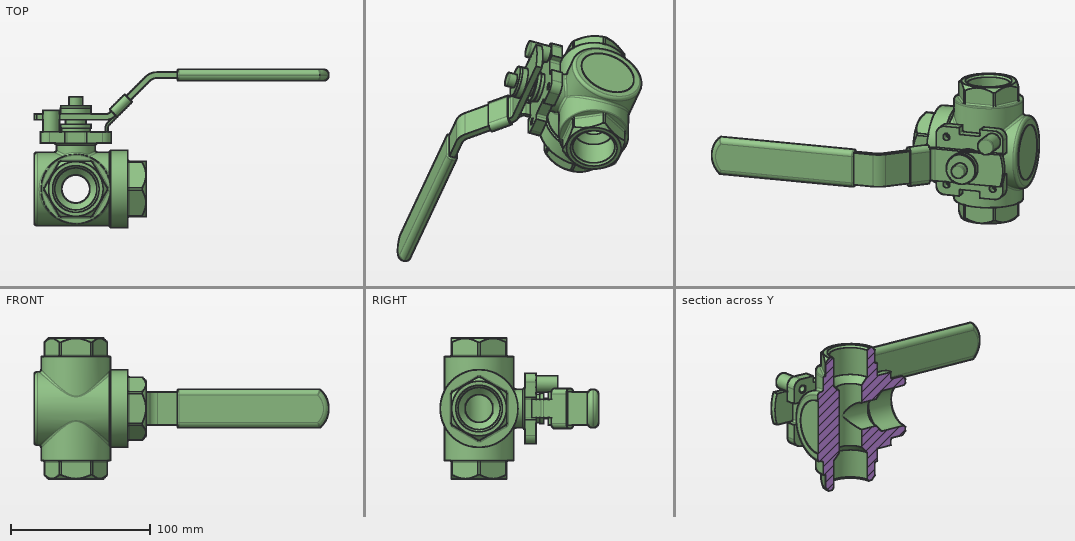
import cadquery as cq
import math


PICK_MARGIN = 0.1

BODY_DIA = 53.0
BODY_END_X = -30.0
BODY_EDGE_FILLET = 2.3
RECESS_DIA = 40.0
RECESS_DEPTH = 0.3

CAP_DIA = 56.0
CAP_START_X = 24.0
CAP_END_X = 37.4
CAP_CHAMFER = 1.2

SLEEVE_DIA = 50.0
SLEEVE_END = 37.4
SLEEVE_FILLET = 0.6
CROSSING_FILLET = 1.5

PORT_END = 50.7
HEX_FLATS = 40.0
HEX_CORNER_DIA = 45.3
HEX_CHAMFER = 3.0
HEX_ROOT_FILLET = 1.1
SHOULDER_DEPTH = 5.0

THREAD_DIA = 30.29
THREAD_MOUTH_DIA = 33.5
THREAD_DEPTH = 22.0
BORE_DIA = 20.0

NECK_DIA = 28.0
NECK_FLARE = 1.5
NECK_ROOT_FILLET = 1.5
NECK_ROOT_DEPTH = 6.0
PLATE_BOTTOM_Y = 33.0
PLATE_TOP_Y = 41.0
PLATE_SIDE = 51.0
PLATE_CORNER_RADIUS = 6.4
PLATE_BOLT_CIRCLE = 50.0
PLATE_HOLE_DIA = 5.0
PLATE_HOLE_CHAMFER = 0.5
NOTCH_WIDTH = 16.0
NOTCH_DEPTH = 5.0
NOTCH_FILLET = 1.4

PIN_DIA = 12.0
PIN_TOP_Y = 56.7
PIN_FILLET = 0.5

STRIP_THICKNESS = 4.4
STRIP_WIDTH = 23.8
STRIP_CENTRE_Y = 51.8
STRIP_START_X = -30.0
STRIP_END_BOW = 2.0
GRIP_CENTRE_Y = 81.9
RAMP_ANGLE = 45.0
RAMP_OFFSET = 27.5
LOWER_BEND_RADIUS = 5.7
UPPER_BEND_RADIUS = 9.7

GLAND_DIA = 20.8
GLAND_TOP_Y = 43.8
SPRING_DIA = 22.2
SPRING_TOP_Y = 46.6
STEM_DIA = 15.0
WASHER_DIA = 22.2
NUT_DIA = 22.0
NUT_BASE_Y = 58.2
NUT_TOP_Y = 60.0
STEM_TIP_DIA = 10.0
STEM_TIP_Y = 66.3
STEM_TIP_FILLET = 0.5

SLIDER_LENGTH = 15.3
SLIDER_THICKNESS = 7.8
SLIDER_WIDTH = 29.0
SLIDER_CENTRE_X = 32.4
TAB_THICKNESS = 2.0
TAB_WIDTH = 13.0
TAB_X = 22.3
TAB_BOTTOM_Y = 38.0
TAB_BEND_RADIUS = 3.5

GRIP_START_X = 73.1
GRIP_TIP_X = 182.0
GRIP_SHOULDER_X = 175.4
GRIP_WIDTH = 27.8
GRIP_THICKNESS = 8.4
GRIP_SIDE_RADIUS = 4.1
GRIP_MOUTH_FILLET = 1.0


def disc_along_y(diameter, y_start, y_end):
    """Cylinder on the stem axis between two heights."""
    plane = cq.Workplane("XZ", origin=(0, y_start, 0))
    return plane.circle(diameter / 2).extrude(y_start - y_end)


def hex_prism(flats, height):
    """Hexagon with two flats facing +Y and -Y, standing on z = 0."""
    return cq.Workplane("XY").polygon(6, flats / math.cos(math.pi / 6)).extrude(height)


def flat_box_around_axis(reach):
    """Selector for edges centred near z = 0 and within reach of the Z axis."""
    return cq.selectors.BoxSelector((-reach, -reach, -PICK_MARGIN), (reach, reach, PICK_MARGIN))


def port_end(base, shoulder_dia):
    """Hexagonal end along +Z, filleted into a round shoulder that ends at the given height."""
    height = PORT_END - base
    envelope = cq.Workplane("XY").circle(HEX_CORNER_DIA / 2).extrude(height)
    envelope = envelope.faces(">Z").chamfer(HEX_CHAMFER)
    end = hex_prism(HEX_FLATS, height).intersect(envelope)
    shoulder = cq.Workplane("XY").circle(shoulder_dia / 2).extrude(-SHOULDER_DEPTH)
    joint = flat_box_around_axis(HEX_CORNER_DIA / 2)
    rim = flat_box_around_axis(PICK_MARGIN)
    end = shoulder.union(end).edges(joint - rim).fillet(HEX_ROOT_FILLET)
    return end.translate((0, 0, base))


def port_bore():
    """Stepped bore from the ball centre out through a port along +Z."""
    mouth_chamfer = (THREAD_MOUTH_DIA - THREAD_DIA) / 2
    thread_floor = PORT_END - THREAD_DEPTH
    cone_floor = thread_floor - (THREAD_DIA - BORE_DIA) / 2
    profile = [
        (0, 0),
        (BORE_DIA / 2, 0),
        (BORE_DIA / 2, cone_floor),
        (THREAD_DIA / 2, thread_floor),
        (THREAD_DIA / 2, PORT_END - mouth_chamfer),
        (THREAD_MOUTH_DIA / 2, PORT_END),
        (0, PORT_END),
    ]
    return cq.Workplane("XZ").polyline(profile).close().revolve(360, (0, 0), (0, 1))


def to_bottom(shape):
    """Turn a +Z port feature to -Z."""
    return shape.rotate((0, 0, 0), (1, 0, 0), 180)


def to_side(shape):
    """Turn a +Z port feature to +X."""
    return shape.rotate((0, 0, 0), (0, 1, 0), 90)


def make_housing():
    """Body, stem neck, cap, sleeves and hexagonal ends, before boring."""
    body = cq.Workplane("YZ", origin=(BODY_END_X, 0, 0)).circle(BODY_DIA / 2)
    inside_cap_x = (CAP_START_X + CAP_END_X) / 2
    body = body.extrude(inside_cap_x - BODY_END_X).faces("<X").edges().fillet(BODY_EDGE_FILLET)
    recess = cq.Workplane("YZ", origin=(BODY_END_X, 0, 0)).circle(RECESS_DIA / 2).extrude(RECESS_DEPTH)
    sleeves = cq.Workplane("XY").circle(SLEEVE_DIA / 2).extrude(SLEEVE_END, both=True)
    sleeves = sleeves.faces("<Z or >Z").edges().fillet(SLEEVE_FILLET)
    cap = cq.Workplane("YZ", origin=(CAP_START_X, 0, 0)).circle(CAP_DIA / 2)
    cap = cap.extrude(CAP_END_X - CAP_START_X).faces("<X").chamfer(CAP_CHAMFER)
    end = port_end(SLEEVE_END, SLEEVE_DIA - 2 * SLEEVE_FILLET)
    side_end = to_side(port_end(CAP_END_X, CAP_DIA))
    housing = body.union(sleeves).edges("%BSPLINE").fillet(CROSSING_FILLET).union(make_neck())
    neck_reach = NECK_DIA / 2
    neck_root_top = BODY_DIA / 2 + PICK_MARGIN
    neck_root = cq.selectors.BoxSelector(
        (-neck_reach, neck_root_top - NECK_ROOT_DEPTH, -neck_reach),
        (neck_reach, neck_root_top, neck_reach),
    )
    housing = housing.edges(neck_root).fillet(NECK_ROOT_FILLET)
    return housing.cut(recess).union(cap).union(end).union(to_bottom(end)).union(side_end)


def make_neck():
    """Round stem neck flaring out into the mounting plate."""
    neck = disc_along_y(NECK_DIA, 0, PLATE_BOTTOM_Y)
    flare = disc_along_y(NECK_DIA + 2 * NECK_FLARE, PLATE_BOTTOM_Y - NECK_FLARE, PLATE_TOP_Y)
    flare = flare.faces("<Y").chamfer(NECK_FLARE)
    return neck.union(flare)


def make_plate():
    """Square mounting plate with notched sides and a chamfered hole in each corner."""
    thickness = PLATE_TOP_Y - PLATE_BOTTOM_Y
    plate = cq.Workplane("XZ", origin=(0, PLATE_TOP_Y, 0)).rect(PLATE_SIDE, PLATE_SIDE).extrude(thickness)
    plate = plate.edges("|Y").fillet(PLATE_CORNER_RADIUS)
    notch = cq.Workplane("XZ", origin=(PLATE_SIDE / 2, PLATE_TOP_Y, 0))
    notch = notch.rect(2 * NOTCH_DEPTH, NOTCH_WIDTH).extrude(thickness)
    notch = notch.edges("|Y").fillet(NOTCH_FILLET)
    for quarter in range(4):
        plate = plate.cut(notch.rotate((0, 0, 0), (0, 1, 0), 90 * quarter))
    hole_pitch = PLATE_BOLT_CIRCLE / math.sqrt(2)
    holes = cq.Workplane("XZ", origin=(0, PLATE_TOP_Y, 0)).rect(hole_pitch, hole_pitch, forConstruction=True)
    plate = plate.cut(holes.vertices().circle(PLATE_HOLE_DIA / 2).extrude(thickness))
    hole_rims = plate.faces("<Y").edges(cq.selectors.RadiusNthSelector(1))
    return hole_rims.chamfer(PLATE_HOLE_CHAMFER)


def make_pin():
    """Stop pin standing on one corner of the plate."""
    offset = PLATE_BOLT_CIRCLE / 2 / math.sqrt(2)
    pin = disc_along_y(PIN_DIA, PLATE_TOP_Y, PIN_TOP_Y).faces(">Y").edges().fillet(PIN_FILLET)
    return pin.translate((-offset, 0, offset))


def make_stem():
    """Gland, spring washer, stem, nut and stem tip stacked along Y."""
    gland = disc_along_y(GLAND_DIA, PLATE_TOP_Y, GLAND_TOP_Y)
    spring = disc_along_y(SPRING_DIA, GLAND_TOP_Y, SPRING_TOP_Y)
    stem = disc_along_y(STEM_DIA, PLATE_BOTTOM_Y, STRIP_CENTRE_Y)
    washer = disc_along_y(WASHER_DIA, STRIP_CENTRE_Y, NUT_BASE_Y)
    nut = disc_along_y(NUT_DIA, STRIP_CENTRE_Y, NUT_TOP_Y)
    tip = disc_along_y(STEM_TIP_DIA, STRIP_CENTRE_Y, STEM_TIP_Y).faces(">Y").edges().fillet(STEM_TIP_FILLET)
    return gland.union(spring).union(stem).union(washer).union(nut).union(tip)


def ramp_y(x):
    """Height of the lever ramp centreline at x."""
    return x * math.tan(math.radians(RAMP_ANGLE)) + RAMP_OFFSET


def ramp_x(y):
    """Position of the lever ramp centreline at height y."""
    return (y - RAMP_OFFSET) / math.tan(math.radians(RAMP_ANGLE))


def swept_strip(start, corners, end, thickness, width):
    """Flat strip swept along straight runs joined by tangent arcs.

    Each corner is (x, y, bend radius) on the strip centreline.
    """
    path = cq.Workplane("XY").moveTo(*start)
    stops = [start] + [(x, y) for x, y, _ in corners] + [end]
    for (x, y, radius), before, after in zip(corners, stops, stops[2:]):
        incoming = math.atan2(y - before[1], x - before[0])
        outgoing = math.atan2(after[1] - y, after[0] - x)
        setback = radius * math.tan(abs(outgoing - incoming) / 2)
        arc_start = (x - setback * math.cos(incoming), y - setback * math.sin(incoming))
        arc_end = (x + setback * math.cos(outgoing), y + setback * math.sin(outgoing))
        path = path.lineTo(*arc_start).tangentArcPoint(arc_end, relative=False)
    path = path.lineTo(*end)
    heading = (corners[0][0] - start[0], corners[0][1] - start[1], 0)
    section = cq.Workplane(cq.Plane(origin=(*start, 0), xDir=(0, 0, 1), normal=heading))
    return section.rect(width, thickness).sweep(path)


def make_lever():
    """Cranked lever strip from its bowed end behind the stem to inside the grip."""
    corners = [
        (ramp_x(STRIP_CENTRE_Y), STRIP_CENTRE_Y, LOWER_BEND_RADIUS),
        (ramp_x(GRIP_CENTRE_Y), GRIP_CENTRE_Y, UPPER_BEND_RADIUS),
    ]
    start = (STRIP_START_X, STRIP_CENTRE_Y)
    end = ((GRIP_START_X + GRIP_TIP_X) / 2, GRIP_CENTRE_Y)
    strip = swept_strip(start, corners, end, STRIP_THICKNESS, STRIP_WIDTH)
    bow_x = STRIP_START_X + STRIP_END_BOW
    bowed_end = (
        cq.Workplane("XZ", origin=(0, GRIP_CENTRE_Y + STRIP_THICKNESS, 0))
        .moveTo(bow_x, -STRIP_WIDTH / 2)
        .threePointArc((STRIP_START_X, 0), (bow_x, STRIP_WIDTH / 2))
        .lineTo(GRIP_TIP_X, STRIP_WIDTH / 2)
        .lineTo(GRIP_TIP_X, -STRIP_WIDTH / 2)
        .close()
        .extrude(GRIP_CENTRE_Y)
    )
    return strip.intersect(bowed_end)


def make_slider():
    """Locking slider around the ramp, with a tab reaching into the plate notch."""
    centre = (SLIDER_CENTRE_X, ramp_y(SLIDER_CENTRE_X))
    slope = math.radians(RAMP_ANGLE)
    along = (math.cos(slope), math.sin(slope), 0)
    section = cq.Workplane(cq.Plane(origin=(*centre, 0), xDir=(0, 0, 1), normal=along))
    sleeve = section.slot2D(SLIDER_WIDTH, SLIDER_THICKNESS).extrude(SLIDER_LENGTH / 2, both=True)
    tab_gap = (SLIDER_THICKNESS - TAB_THICKNESS) / 2
    tab_end = (centre[0] + tab_gap * math.sin(slope), centre[1] - tab_gap * math.cos(slope))
    corner_y = tab_end[1] - (tab_end[0] - TAB_X) * math.tan(slope)
    corners = [(TAB_X, corner_y, TAB_BEND_RADIUS)]
    tab = swept_strip((TAB_X, TAB_BOTTOM_Y), corners, tab_end, TAB_THICKNESS, TAB_WIDTH)
    return sleeve.union(tab)


def make_grip():
    """Grip sleeve with rounded sides and a bowed tip."""
    half = GRIP_WIDTH / 2
    grip = (
        cq.Workplane("XZ", origin=(0, GRIP_CENTRE_Y + GRIP_THICKNESS / 2, 0))
        .moveTo(GRIP_START_X, -half)
        .lineTo(GRIP_SHOULDER_X, -half)
        .threePointArc((GRIP_TIP_X, 0), (GRIP_SHOULDER_X, half))
        .lineTo(GRIP_START_X, half)
        .close()
        .extrude(GRIP_THICKNESS)
    )
    grip = grip.faces("<Y or >Y").edges("not <X").fillet(GRIP_SIDE_RADIUS)
    return grip.faces("<X").edges().fillet(GRIP_MOUTH_FILLET)


bore = port_bore()
housing = make_housing()
housing = housing.cut(bore).cut(to_bottom(bore)).cut(to_side(bore))

result = housing
for component in (make_plate(), make_pin(), make_stem(), make_lever(), make_slider(), make_grip()):
    result = result.union(component)